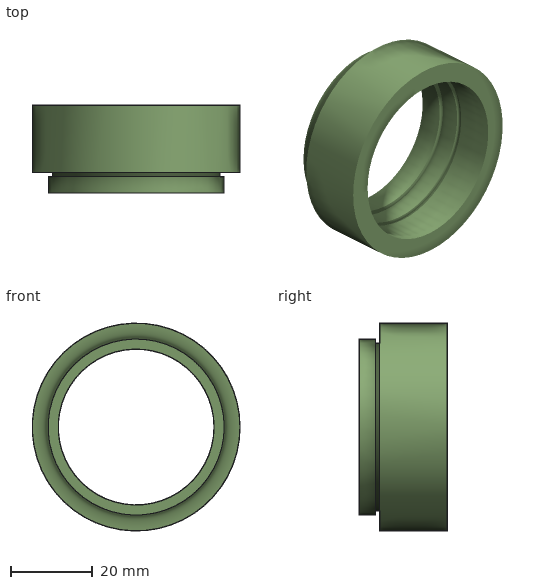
import cadquery as cq

total_length = 21.5
body_diameter = 50.8
flange_diameter = 43.0
flange_length = 4.0
neck_diameter = 41.0
neck_length = 1.0

front_bore_diameter = 38.0
front_bore_end = 6.0
middle_bore_diameter = 40.2
middle_bore_end = 11.0
relief_diameter = 42.0
relief_end = 12.0
rear_bore_diameter = 41.0

neck_end = flange_length + neck_length


def cylinder(diameter, start, end):
    """Solid cylinder about the Y axis between Y = start and Y = end."""
    return cq.Workplane("XZ", origin=(0, start, 0)).circle(diameter / 2).extrude(start - end)


def stack(sections):
    """Join coaxial cylinders end to end, each given as (diameter, end), starting at Y = 0."""
    solid = cq.Workplane("XZ")
    start = 0
    for diameter, end in sections:
        solid = solid.union(cylinder(diameter, start, end))
        start = end
    return solid


outside = stack([
    (flange_diameter, flange_length),
    (neck_diameter, neck_end),
    (body_diameter, total_length),
])

stepped_bore = stack([
    (front_bore_diameter, front_bore_end),
    (middle_bore_diameter, middle_bore_end),
    (relief_diameter, relief_end),
    (rear_bore_diameter, total_length),
])

result = outside.cut(stepped_bore)